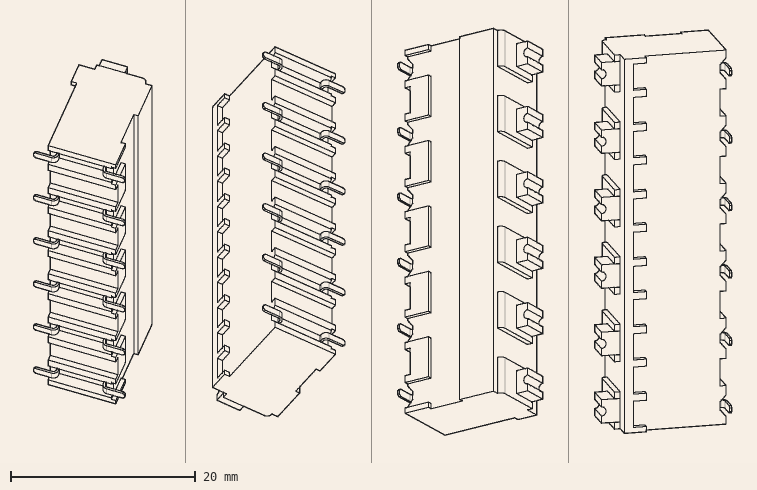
import cadquery as cq
import math

length = 42.3
pole_count = 6
boss_height = 4.2
pole_pitch = (length - boss_height) / (pole_count - 1)
first_pole_z = -pole_pitch * (pole_count - 1) / 2
pole_heights = [first_pole_z + i * pole_pitch for i in range(pole_count)]

left_wall_x = -3.65
ledge_x = -4.27
right_wall_x = 4.15
right_recess_x = 3.65
base_y = -6.05
foot_y = -6.73
right_recess_low_y = -3.65
right_recess_high_y = 0.42
shoulder_y = 4.82

rail_low_y = 3.8
tooth_low_y = 2.35
tooth_outer = 2.3
tooth_inner = 1.5

boss_left_x = -2.45
boss_right_x = 3.4
boss_corner_radius = 0.55
boss_y = 5.45

tab_left_x = -2.35
tab_width = 2.95
tab_y = 6.9
tab_height = 2.65
tab_notch_radius = 0.5

groove_mouth = 2.45
groove_floor = 0.95

pin_tip_x = 5.25
pin_leg_x = 2.6
pin_thickness = 0.25
pin_bend_radius = 0.6
pin_low_y = -6.95
pin_width = 0.85
pin_tip_chamfer = 0.2
pin_embed = 0.42


def block(x_range, y_range, z_center, z_size):
    """Box given by its X and Y ranges, centred at a height."""
    size_x = x_range[1] - x_range[0]
    size_y = y_range[1] - y_range[0]
    center = (sum(x_range) / 2, sum(y_range) / 2, z_center)
    return cq.Workplane("XY").box(size_x, size_y, z_size).translate(center)


def make_core():
    """Housing core with the ledge rail and the recess along the +X wall."""
    core = block((left_wall_x, right_wall_x), (base_y, shoulder_y), 0, length)
    rail = block((ledge_x, left_wall_x), (rail_low_y, shoulder_y), 0, length)
    recess = block((right_recess_x, right_wall_x), (right_recess_low_y, right_recess_high_y), 0, length)
    return core.union(rail).cut(recess)


def make_teeth(z):
    """Two teeth of the ledge, one on each side of a pole."""
    teeth = block((ledge_x, left_wall_x), (tooth_low_y, rail_low_y), z, 2 * tooth_outer)
    return teeth.cut(block((ledge_x, left_wall_x), (tooth_low_y, rail_low_y), z, 2 * tooth_inner))


def make_boss(z):
    """Raised boss with its +X corner rounded and its -X face relieved at the tab."""
    boss = block((boss_left_x, boss_right_x), (shoulder_y, boss_y), z, boss_height)
    boss = boss.edges("|Z and >X and >Y").fillet(boss_corner_radius)
    return boss.cut(block((boss_left_x, tab_left_x), (shoulder_y, boss_y), z, tab_height))


def make_tab(z):
    """Tab on the boss with a half-round notch across its end."""
    tab = block((tab_left_x, tab_left_x + tab_width), (shoulder_y, tab_y), z, tab_height)
    notch = (
        cq.Workplane("YZ", origin=(tab_left_x, 0, 0))
        .center(tab_y, z)
        .circle(tab_notch_radius)
        .extrude(tab_width)
    )
    return tab.cut(notch)


def make_foot(z):
    """Foot under a pole."""
    return block((left_wall_x, right_wall_x), (foot_y, base_y), z, 2 * tooth_outer)


def make_groove(z):
    """Tapered groove through the foot, with the +X wall notched beside it."""
    groove = (
        cq.Workplane("YZ", origin=(left_wall_x, 0, 0))
        .polyline([
            (foot_y, z - groove_mouth / 2),
            (base_y, z - groove_floor / 2),
            (base_y, z + groove_floor / 2),
            (foot_y, z + groove_mouth / 2),
        ])
        .close()
        .extrude(right_wall_x - left_wall_x)
    )
    notch = block((right_recess_x, right_wall_x), (foot_y, right_recess_low_y), z, 2 * tooth_inner)
    return groove.union(notch)


def make_right_pin(z):
    """Pin that leaves the groove floor and bends outward to +X."""
    foot_top_y = pin_low_y + pin_thickness
    leg_top_y = base_y + pin_embed
    leg_outer_x = pin_leg_x + pin_thickness
    bend_center_x = pin_leg_x + pin_bend_radius
    bend_center_y = pin_low_y + pin_bend_radius
    inner_radius = pin_bend_radius - pin_thickness
    outer_offset = pin_bend_radius * math.sqrt(0.5)
    inner_offset = inner_radius * math.sqrt(0.5)
    return (
        cq.Workplane("XY", origin=(0, 0, z - pin_width / 2))
        .moveTo(pin_leg_x, leg_top_y)
        .lineTo(pin_leg_x, bend_center_y)
        .threePointArc(
            (bend_center_x - outer_offset, bend_center_y - outer_offset),
            (bend_center_x, pin_low_y),
        )
        .lineTo(pin_tip_x, pin_low_y)
        .lineTo(pin_tip_x, foot_top_y)
        .lineTo(bend_center_x, foot_top_y)
        .threePointArc(
            (bend_center_x - inner_offset, bend_center_y - inner_offset),
            (leg_outer_x, bend_center_y),
        )
        .lineTo(leg_outer_x, leg_top_y)
        .close()
        .extrude(pin_width)
        .edges("|Y and >X")
        .chamfer(pin_tip_chamfer)
    )


housing = make_core()
for pole_z in pole_heights:
    housing = housing.union(make_teeth(pole_z)).union(make_boss(pole_z)).union(make_tab(pole_z))
    housing = housing.union(make_foot(pole_z)).cut(make_groove(pole_z))

envelope = block((-pin_tip_x, pin_tip_x), (pin_low_y, tab_y), 0, length)
result = housing.intersect(envelope)

for pole_z in pole_heights:
    right_pin = make_right_pin(pole_z)
    result = result.union(right_pin).union(right_pin.mirror("YZ"))